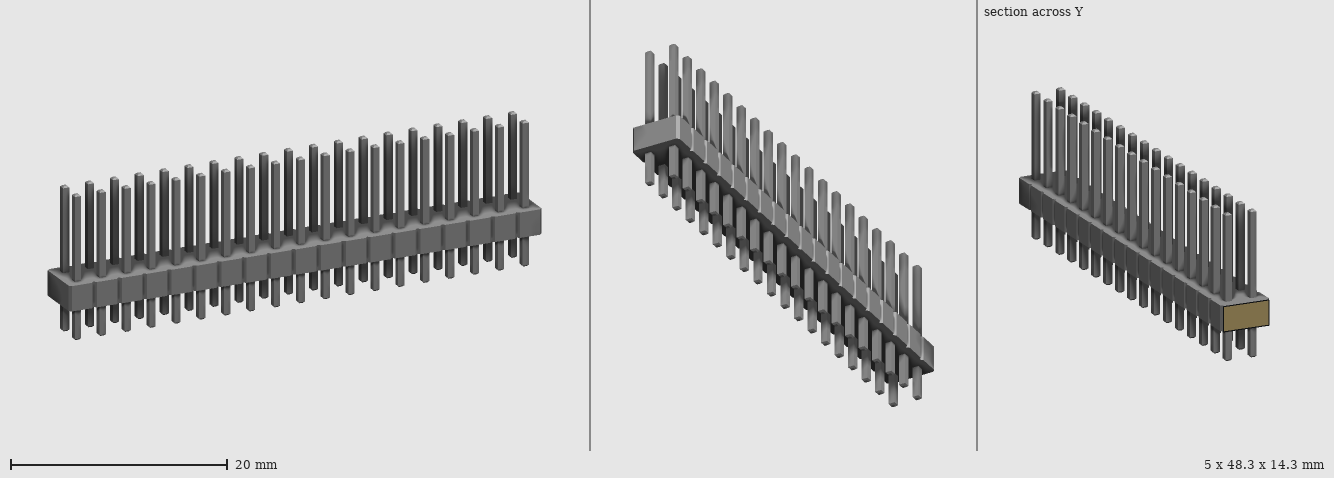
import cadquery as cq

pitch = 2.54
row_count = 19
column_count = 2

body_width = 5.0
body_height = 2.5
corner_chamfer = 0.25

pin_size = 0.64
pin_length = 14.3
pin_tail = 3.3
tip_chamfer = 0.15


def make_cell():
    """One pitch of the insulator; neighbouring chamfers meet to form the V notches."""
    return (
        cq.Workplane("XY")
        .box(body_width, pitch, body_height, centered=(True, True, False))
        .edges("|Z")
        .chamfer(corner_chamfer)
    )


def make_pin():
    """A square pin chamfered at both tips, standing through the insulator."""
    return (
        cq.Workplane("XY")
        .workplane(offset=-pin_tail)
        .box(pin_size, pin_size, pin_length, centered=(True, True, False))
        .faces("<Z or >Z")
        .chamfer(tip_chamfer)
    )


def centred_positions(count):
    """Positions at the pin pitch, centred on zero."""
    return [(index - (count - 1) / 2) * pitch for index in range(count)]


cell = make_cell()
pin = make_pin()
cells = []
pins = []
for y in centred_positions(row_count):
    cells.append(cell.translate((0, y, 0)).val())
    for x in centred_positions(column_count):
        pins.append(pin.translate((x, y, 0)).val())

body = cells[0].fuse(*cells[1:]).clean()
header = body.fuse(*pins)
result = cq.Workplane("XY").newObject(header.Solids())